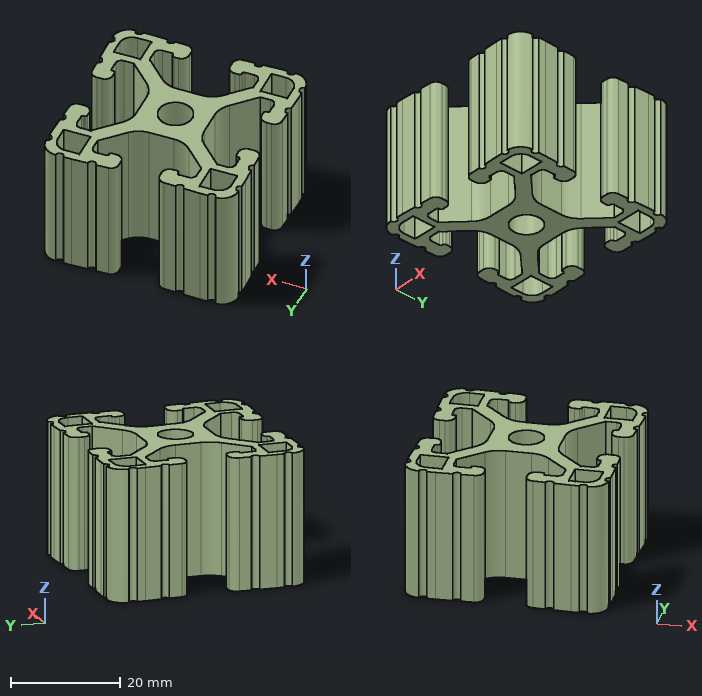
import cadquery as cq
import math

WIDTH_X = 38.15
WIDTH_Y = 38.25
LENGTH = 25.4

CORE_HALF = 6.75
CORE_FILLET = 4.97
BORE_RADIUS = 3.3
ARM_OFFSET = 2.2

WALL_INSET = 8.8
LIP_REACH = 15.05
LIP_UNDERSIDE_INSET = 3.4
LIP_BEAD_INSET = 4.32
BEAD_START = 12.2
TAPER_START = 6.35
TAPER_ANGLE = 2.0

LIP_TIP_FILLET = 1.53
BEAD_STEP_FILLET = 0.4
SLOT_FILLET = 1.15

HOLLOW_INSET = 1.87
HOLLOW_SIZE = 5.3
HOLLOW_RADIUS = 2.5

GROOVE_RADIUS = 0.75
GROOVE_POSITIONS = (4.0, 10.35)

CORNER_RADIUS = GROOVE_POSITIONS[0] - GROOVE_RADIUS


def taper_drop(distance):
    """Depth of the outer face below its flat part, at a distance from the corner."""
    return max(0.0, distance - TAPER_START) * math.tan(math.radians(TAPER_ANGLE))


def mirrored(points):
    """Reflect points across the corner diagonal, in reverse order."""
    return [(y, x) for x, y in reversed(points)]


def prism(points):
    return cq.Workplane("XY").polyline(points).close().extrude(LENGTH)


def fillet_at(body, points, radius):
    """Round the lengthwise edges that pass through the given points."""
    for x, y in points:
        body = body.edges(cq.selectors.NearestToPointSelector((x, y, LENGTH / 2))).fillet(radius)
    return body


def quarter(half_x, half_y):
    """Build the profile quarter in the +X +Y quadrant: core, arm, corner block and lips."""

    def from_corner(points):
        return [(half_x - x, half_y - y) for x, y in points]

    corner = (0, 0)
    taper_edge = (TAPER_START, 0)
    lip_outer = (LIP_REACH, taper_drop(LIP_REACH))
    lip_inner = (LIP_REACH, LIP_BEAD_INSET)
    bead_outer = (BEAD_START, LIP_BEAD_INSET)
    bead_inner = (BEAD_START, LIP_UNDERSIDE_INSET)
    slot_corner = (WALL_INSET, LIP_UNDERSIDE_INSET)
    lip = [taper_edge, lip_outer, lip_inner, bead_outer, bead_inner, slot_corner]

    wall_x = half_x - WALL_INSET
    wall_y = half_y - WALL_INSET
    core_corner = CORE_HALF - ARM_OFFSET
    along_x = [(wall_x, wall_x + ARM_OFFSET), (core_corner, CORE_HALF), (0, CORE_HALF)]
    along_y = [(CORE_HALF, 0), (CORE_HALF, core_corner), (wall_y + ARM_OFFSET, wall_y)]

    outline = from_corner([corner] + lip) + along_x + [(0, 0)] + along_y + from_corner(mirrored(lip))
    body = prism(outline)

    def both_lips(point):
        return from_corner([point] + mirrored([point]))

    body = fillet_at(body, from_corner([corner]), CORNER_RADIUS)
    body = fillet_at(body, both_lips(lip_outer) + both_lips(lip_inner), LIP_TIP_FILLET)
    body = fillet_at(body, both_lips(bead_outer) + both_lips(bead_inner), BEAD_STEP_FILLET)
    body = fillet_at(body, both_lips(slot_corner), SLOT_FILLET)
    body = fillet_at(body, [along_x[1], along_y[1]], CORE_FILLET)

    grooves = [(distance, taper_drop(distance)) for distance in GROOVE_POSITIONS]
    groove_centres = from_corner(grooves + mirrored(grooves))
    body = body.cut(cq.Workplane("XY").pushPoints(groove_centres).circle(GROOVE_RADIUS).extrude(LENGTH))
    return body.cut(corner_hollow(half_x, half_y))


def corner_hollow(half_x, half_y):
    """Square hollow of a corner block, rounded at its outermost corner."""
    outer_x = half_x - HOLLOW_INSET
    outer_y = half_y - HOLLOW_INSET
    square = cq.Workplane("XY").rect(HOLLOW_SIZE, HOLLOW_SIZE).extrude(LENGTH)
    square = square.translate((outer_x - HOLLOW_SIZE / 2, outer_y - HOLLOW_SIZE / 2, 0))
    return fillet_at(square, [(outer_x, outer_y)], HOLLOW_RADIUS)


right_top = quarter(WIDTH_X / 2, WIDTH_Y / 2)
top_half = right_top.union(right_top.mirror("YZ"))
profile = top_half.union(top_half.mirror("XZ")).clean()

bore = cq.Workplane("XY").circle(BORE_RADIUS).extrude(LENGTH)
result = profile.cut(bore)